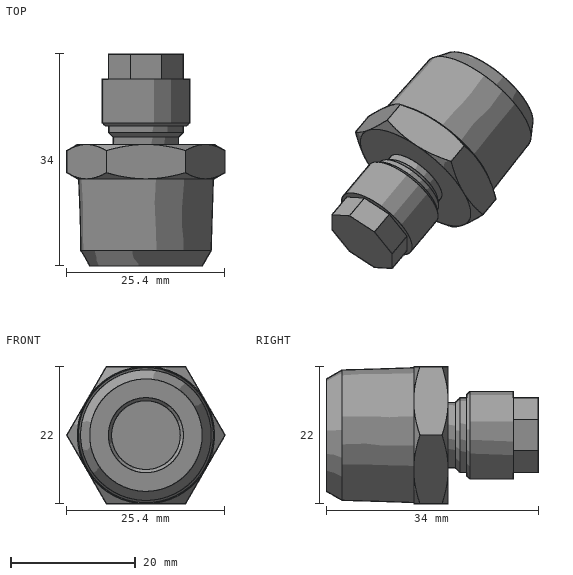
import cadquery as cq
import math

TOTAL_LENGTH = 34.0
NOSE_CHAMFER_LENGTH = 2.5
HEX_FRONT = 14.0
HEX_THICKNESS = 5.5
HEX_BACK = HEX_FRONT + HEX_THICKNESS
NECK_LENGTH = 1.15
SHOULDER_TAPER_LENGTH = 0.75
OCTAGON_LENGTH = 4.0
COLLAR_LENGTH = 7.5
COLLAR_CHAMFER = 0.5
COLLAR_BACK = TOTAL_LENGTH - OCTAGON_LENGTH
COLLAR_FRONT = COLLAR_BACK - COLLAR_LENGTH

HEX_FLATS = 22.0
THREAD_BASE_DIAMETER = 21.65
THREAD_TAPER = 1 / 16
NOSE_ANGLE = 30
HEX_CHAMFER_ANGLE = 30
NECK_DIAMETER = 10.5
SHOULDER_DIAMETER = 12.0
COLLAR_DIAMETER = 14.08
OCTAGON_FLATS = 12.0

BORE_DIAMETER = 11.0
BORE_CHAMFER = 0.5
BORE_DEPTH = 4.08


def revolve_profile(points):
    """Turn a closed (radius, y) outline about the Y axis."""
    return cq.Workplane("XY").polyline(points).close().revolve(360, (0, 0), (0, 1))


def regular_bar(sides, across_flats, start, length, turn):
    """Polygonal bar along Y, its first corner turned from +X by `turn` degrees."""
    corner_diameter = across_flats / math.cos(math.pi / sides)
    bar = cq.Workplane("XZ", origin=(0, start, 0)).polygon(sides, corner_diameter).extrude(-length)
    return bar.rotate((0, 0, 0), (0, 1, 0), turn)


def make_turned_body():
    """Tapered thread body, neck, shoulder and collar."""
    thread_length = HEX_FRONT - NOSE_CHAMFER_LENGTH
    thread_front_radius = (THREAD_BASE_DIAMETER - thread_length * THREAD_TAPER) / 2
    nose_radius = thread_front_radius - NOSE_CHAMFER_LENGTH * math.tan(math.radians(NOSE_ANGLE))
    neck_back = HEX_BACK + NECK_LENGTH
    collar_radius = COLLAR_DIAMETER / 2
    return revolve_profile([
        (0, 0),
        (nose_radius, 0),
        (thread_front_radius, NOSE_CHAMFER_LENGTH),
        (THREAD_BASE_DIAMETER / 2, HEX_FRONT),
        (NECK_DIAMETER / 2, HEX_FRONT),
        (NECK_DIAMETER / 2, neck_back),
        (SHOULDER_DIAMETER / 2, neck_back + SHOULDER_TAPER_LENGTH),
        (SHOULDER_DIAMETER / 2, COLLAR_FRONT),
        (collar_radius - COLLAR_CHAMFER, COLLAR_FRONT),
        (collar_radius, COLLAR_FRONT + COLLAR_CHAMFER),
        (collar_radius, COLLAR_BACK),
        (0, COLLAR_BACK),
    ])


def make_hexagon():
    """Wrench hexagon with conical chamfers that touch the flats at both ends."""
    bar = regular_bar(6, HEX_FLATS, HEX_FRONT, HEX_THICKNESS, 0)
    slope = math.tan(math.radians(HEX_CHAMFER_ANGLE))
    flat_radius = HEX_FLATS / 2
    outer_radius = flat_radius + HEX_THICKNESS / 2 / slope
    envelope = revolve_profile([
        (0, HEX_FRONT),
        (flat_radius, HEX_FRONT),
        (outer_radius, (HEX_FRONT + HEX_BACK) / 2),
        (flat_radius, HEX_BACK),
        (0, HEX_BACK),
    ])
    return bar.intersect(envelope)


def make_bore():
    """Blind bore with a chamfered mouth, as a cutting solid."""
    bore_radius = BORE_DIAMETER / 2
    return revolve_profile([
        (0, 0),
        (bore_radius + BORE_CHAMFER, 0),
        (bore_radius, BORE_CHAMFER),
        (bore_radius, BORE_DEPTH),
        (0, BORE_DEPTH),
    ])


octagon = regular_bar(8, OCTAGON_FLATS, COLLAR_BACK, OCTAGON_LENGTH, 180 / 8)
fitting = make_turned_body().union(make_hexagon()).union(octagon).cut(make_bore())
result = fitting.translate((0, -TOTAL_LENGTH / 2, 0))